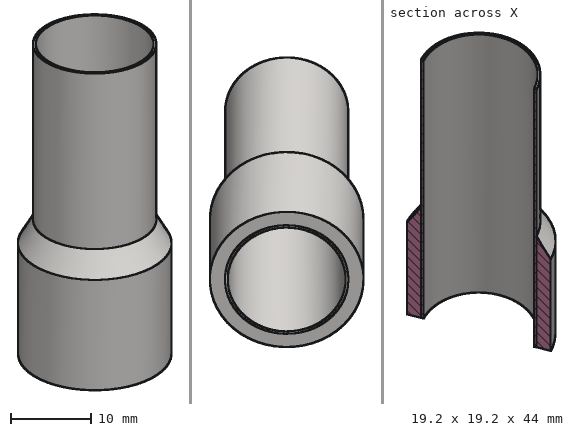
import cadquery as cq


sleeve_length = 44.0
sleeve_outer_diameter = 15.4
sleeve_wall = 0.35

collar_diameter = 19.2
collar_straight_height = 15.7
collar_taper_height = 3.35

sleeve_radius = sleeve_outer_diameter / 2
collar_radius = collar_diameter / 2
collar_height = collar_straight_height + collar_taper_height


def make_sleeve():
    """Thin-walled tube, open at both ends, running the full length."""
    return (
        cq.Workplane("XY")
        .circle(sleeve_radius)
        .circle(sleeve_radius - sleeve_wall)
        .extrude(sleeve_length)
    )


def make_collar():
    """Ring fitted on the sleeve, its upper end tapering down to the sleeve surface."""
    half_section = (
        cq.Workplane("XZ")
        .moveTo(sleeve_radius, 0)
        .lineTo(collar_radius, 0)
        .lineTo(collar_radius, collar_straight_height)
        .lineTo(sleeve_radius, collar_height)
        .close()
    )
    return half_section.revolve(360, (0, 0, 0), (0, 1, 0))


sleeve = make_sleeve()
collar = make_collar()

result = cq.Compound.makeCompound([sleeve.val(), collar.val()])